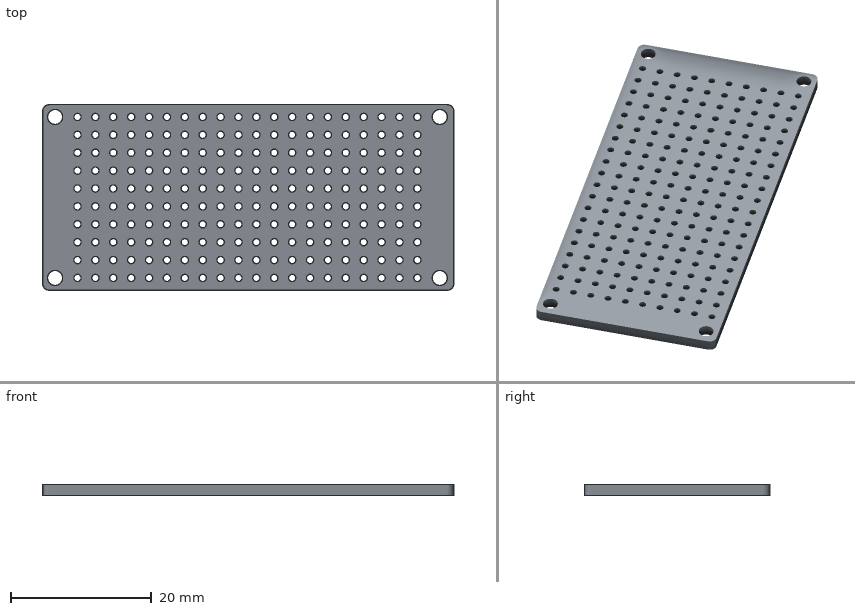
import cadquery as cq

length = 58.45
width = 26.4
thickness = 1.6
corner_radius = 1.0

pattern_offset_x = -0.1

columns = 20
rows = 10
grid_length = 48.3
pitch = grid_length / (columns - 1)
grid_hole_diameter = 1.0

mount_columns = 2
mount_rows = 2
mount_hole_diameter = 2.1
mount_spacing_x = 54.65
mount_spacing_y = pitch * (rows - 1)


def rounded_plate():
    plate = cq.Workplane("XY").box(length, width, thickness)
    return plate.edges("|Z").fillet(corner_radius)


def drill_pattern(plate, spacing_x, spacing_y, count_x, count_y, diameter):
    """Drill a rectangular array of through holes about the pattern centre."""
    pattern = plate.faces(">Z").workplane(origin=(pattern_offset_x, 0, 0))
    return pattern.rarray(spacing_x, spacing_y, count_x, count_y).hole(diameter)


plate = rounded_plate()
perforated = drill_pattern(plate, pitch, pitch, columns, rows, grid_hole_diameter)
result = drill_pattern(
    perforated, mount_spacing_x, mount_spacing_y, mount_columns, mount_rows, mount_hole_diameter
)